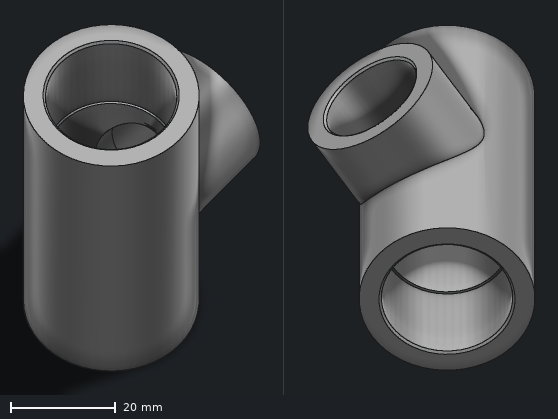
import cadquery as cq

run_length = 66.0
run_outer_diameter = 33.5
run_socket_diameter = 25.0
run_bore_diameter = 24.0
run_socket_depth = 19.0

branch_reach = 28.0
branch_outer_diameter = 28.0
branch_socket_diameter = 20.0
branch_bore_diameter = 19.0
branch_socket_depth = 15.85

mouth_chamfer = 0.45


def cylinder(plane, diameter, length):
    """Solid cylinder extruded from the given plane along its normal."""
    return cq.Workplane(plane).circle(diameter / 2).extrude(length)


def socket(mouth_plane, diameter, depth):
    """Cutter for a pipe socket running inward, flared by a chamfer at its mouth."""
    mouth_diameter = diameter + 2 * mouth_chamfer
    flare = (
        cq.Workplane(mouth_plane)
        .circle(mouth_diameter / 2)
        .workplane(offset=mouth_chamfer)
        .circle(diameter / 2)
        .loft()
    )
    return cylinder(mouth_plane, diameter, depth).union(flare)


bottom_mouth = cq.Plane(origin=(0, 0, -run_length / 2), normal=(0, 0, 1))
top_mouth = cq.Plane(origin=(0, 0, run_length / 2), normal=(0, 0, -1))
branch_mouth = cq.Plane(origin=(0, branch_reach, 0), xDir=(1, 0, 0), normal=(0, -1, 0))

body = cylinder(bottom_mouth, run_outer_diameter, run_length)
body = body.union(cylinder(branch_mouth, branch_outer_diameter, branch_reach))

body = body.cut(cylinder(bottom_mouth, run_bore_diameter, run_length))
body = body.cut(cylinder(branch_mouth, branch_bore_diameter, branch_reach))

for mouth in (bottom_mouth, top_mouth):
    body = body.cut(socket(mouth, run_socket_diameter, run_socket_depth))
body = body.cut(socket(branch_mouth, branch_socket_diameter, branch_socket_depth))

result = body